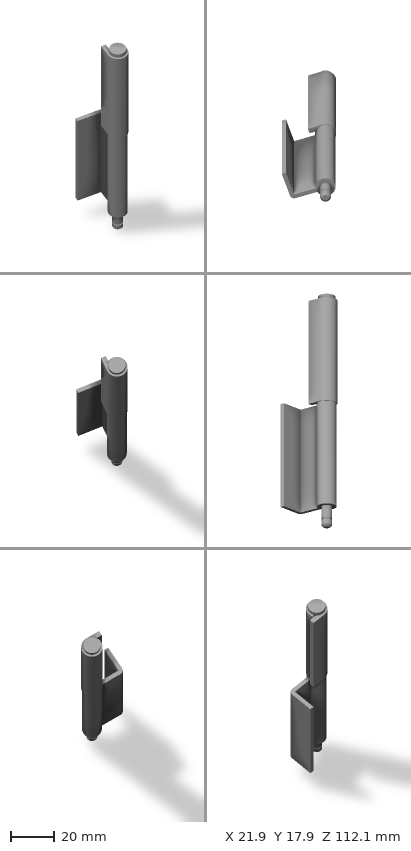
import cadquery as cq
import math

LEAF_LENGTH = 50.0

PIN_DIAMETER = 5.0
HEAD_DIAMETER = 8.0
HEAD_HEIGHT = 2.0
PIN_PROTRUSION = 10.1
GROOVE_DEPTH = 0.5
GROOVE_WIDTH = 0.7
GROOVE_OFFSET = 6.0
TIP_CHAMFER = 1.0

UPPER_BARREL_DIAMETER = 9.9
TAB_REACH = 7.0
TAB_THICKNESS = (UPPER_BARREL_DIAMETER - PIN_DIAMETER) / 2
CURL_END_ANGLE = 27

LOWER_BARREL_DIAMETER = 9.2
PLATE_THICKNESS = 2.0
PLATE_BACK_Y = 1.2
PLATE_REACH = 16.9
FLANGE_END_Y = -12.9
BEND_RADIUS = 2.0


def make_barrel(diameter, bottom_z):
    return cq.Workplane("XY", origin=(0, 0, bottom_z)).circle(diameter / 2).extrude(LEAF_LENGTH)


def bore_for_pin(leaf, bottom_z):
    return leaf.cut(make_barrel(PIN_DIAMETER, bottom_z))


def make_curl_gap():
    """Wedge between the radial end of the rolled barrel and the inner face of the tab."""
    tab_inner_y = -PIN_DIAMETER / 2
    meeting_x = tab_inner_y / math.tan(math.radians(CURL_END_ANGLE))
    return (
        cq.Workplane("XY")
        .polyline([(0, 0), (meeting_x, tab_inner_y), (0, tab_inner_y)])
        .close()
        .extrude(LEAF_LENGTH)
    )


def make_upper_leaf():
    """Rolled barrel whose wall runs off tangent to its -Y side as a tab."""
    tab = cq.Workplane("XY").box(TAB_REACH, TAB_THICKNESS, LEAF_LENGTH, centered=False)
    tab = tab.translate((-TAB_REACH, -UPPER_BARREL_DIAMETER / 2, 0))
    curl = make_barrel(UPPER_BARREL_DIAMETER, 0).cut(make_curl_gap())
    return bore_for_pin(curl.union(tab), 0)


def make_lower_leaf():
    """Bored barrel with a plate bent towards -Y at its free end."""
    plate_front_y = PLATE_BACK_Y - PLATE_THICKNESS
    flange_inside_x = PLATE_THICKNESS - PLATE_REACH
    plate = (
        cq.Workplane("XY", origin=(0, 0, -LEAF_LENGTH))
        .moveTo(0, PLATE_BACK_Y)
        .lineTo(BEND_RADIUS - PLATE_REACH, PLATE_BACK_Y)
        .radiusArc((-PLATE_REACH, PLATE_BACK_Y - BEND_RADIUS), -BEND_RADIUS)
        .lineTo(-PLATE_REACH, FLANGE_END_Y)
        .lineTo(flange_inside_x, FLANGE_END_Y)
        .lineTo(flange_inside_x, plate_front_y)
        .lineTo(0, plate_front_y)
        .close()
        .extrude(LEAF_LENGTH)
    )
    barrel = make_barrel(LOWER_BARREL_DIAMETER, -LEAF_LENGTH)
    return bore_for_pin(barrel.union(plate), -LEAF_LENGTH)


def make_pin():
    """Headed pin with a retaining groove and a chamfered tip."""
    pin_bottom_z = -LEAF_LENGTH - PIN_PROTRUSION
    groove_bottom_z = -LEAF_LENGTH - GROOVE_OFFSET - GROOVE_WIDTH
    shank = (
        cq.Workplane("XY", origin=(0, 0, pin_bottom_z))
        .circle(PIN_DIAMETER / 2)
        .extrude(LEAF_LENGTH - pin_bottom_z)
        .faces("<Z")
        .chamfer(TIP_CHAMFER)
    )
    head = (
        cq.Workplane("XY", origin=(0, 0, LEAF_LENGTH))
        .circle(HEAD_DIAMETER / 2)
        .extrude(HEAD_HEIGHT)
    )
    groove = (
        cq.Workplane("XY", origin=(0, 0, groove_bottom_z))
        .circle(PIN_DIAMETER / 2)
        .circle(PIN_DIAMETER / 2 - GROOVE_DEPTH)
        .extrude(GROOVE_WIDTH)
    )
    return shank.union(head).cut(groove)


upper_leaf = make_upper_leaf()
lower_leaf = make_lower_leaf()
pin = make_pin()

result = cq.Compound.makeCompound([upper_leaf.val(), lower_leaf.val(), pin.val()])